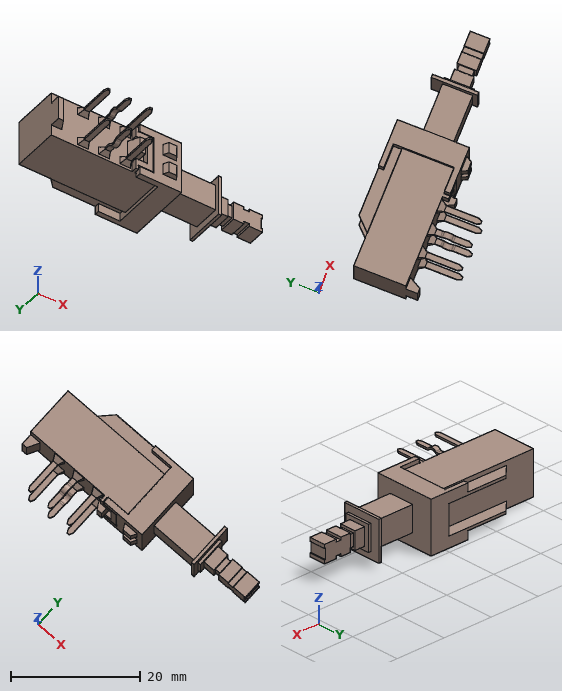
import cadquery as cq


body_length = 20.15
body_half_height = 4.25
body_top = 4.3
body_bottom = -4.4

rib_top = 6.6
rib_foot_x = 5.8
rib_crest_x = 8.02
rib_outer_z = 3.4
rib_thickness = 0.55

housing_end = 24.0
housing_half_height = 5.0
arm_start = 16.1
upper_arm_thickness = 0.9
lower_arm_thickness = 1.0
housing_bottom = body_bottom - lower_arm_thickness
arm_clearance = 0.13

tongue_start = 15.35
tongue_shoulder_x = 15.85
tongue_end = 18.6
tongue_half_width = 3.4
arm_inner_z = tongue_half_width + arm_clearance
tongue_notch_end = 17.5
foot_half_width = 2.23

foot_bottom = -6.4
end_foot_base = 1.97
end_foot_tip = 0.92
latch_base_x = 14.45
latch_tip_x = 15.45
latch_end = 16.45
latch_half_width = 1.45
stud_base = (20.4, 22.97)
stud_tip = (20.9, 22.43)
stud_inner_z = 0.92
stud_outer_z = 3.0

pin_first_x = 6.0
pin_pitch = 4.0
pin_z = 3.02
pin_width = 1.0
pin_thickness = 0.38
pin_tip_y = -11.42
pin_taper_length = 0.65
pin_tip_width = 0.4
pin_base_width = 2.0
pin_base_thickness = 1.43
kink_centre_y = -7.48
kink_half_length = 0.9
kink_height = 0.45
kink_bend_radius = 0.4

stem_half_height = 2.48
stem_y = (-2.6, 2.45)
flange_start = 32.42
flange_end = 32.95
flange_half_height = 3.85
flange_y = (-3.4, 4.33)
collar_end = 33.47
collar_half_width = 2.5
head_half_width = 1.65
head_half_height = 1.72
neck_half_width = 1.25
neck_half_height = 1.2
neck_x = (35.5, 36.5)
notch_x = (38.47, 39.5)
head_end = 42.0
tip_recess_depth = 0.2
tip_recess_half_height = 1.0


def block(x_range, y_range, z_range):
    """Box spanning the given X, Y and Z ranges."""
    sizes = [high - low for low, high in (x_range, y_range, z_range)]
    corner = (x_range[0], y_range[0], z_range[0])
    return cq.Workplane("XY").box(*sizes, centered=False).translate(corner)


def centred(half_size):
    return (-half_size, half_size)


def prism(points, z_range):
    """XY outline extruded over a Z range."""
    outline = cq.Workplane("XY").workplane(offset=z_range[0]).polyline(points).close()
    return outline.extrude(z_range[1] - z_range[0])


def mirrored_in_z(shape):
    return shape.union(shape.mirror("XY"))


def make_body():
    body = block((0, body_length), (body_bottom, body_top), centred(body_half_height))
    rib_outline = [
        (rib_foot_x, body_top),
        (rib_crest_x, rib_top),
        (body_length, rib_top),
        (body_length, body_top),
    ]
    rib = prism(rib_outline, (rib_outer_z - rib_thickness, rib_outer_z))
    return body.union(mirrored_in_z(rib))


def make_tongue():
    y_range = (housing_bottom, body_bottom)
    shoulder = block((tongue_start, tongue_shoulder_x), y_range, centred(body_half_height))
    tongue = block((tongue_shoulder_x, tongue_end), y_range, centred(tongue_half_width))
    notch = block((tongue_start, tongue_notch_end), y_range, centred(foot_half_width))
    return shoulder.union(tongue).cut(notch)


def make_housing():
    housing = block((body_length, housing_end), (housing_bottom, rib_top), centred(housing_half_height))
    arm_x = (arm_start, body_length)
    upper_arm = block(
        arm_x, (rib_top - upper_arm_thickness, rib_top), (rib_outer_z, housing_half_height)
    )
    lower_arm = block(arm_x, (housing_bottom, body_bottom), (arm_inner_z, housing_half_height))
    lower_bridge = block(
        (tongue_end + arm_clearance, body_length), (housing_bottom, body_bottom), centred(arm_inner_z)
    )
    return housing.union(mirrored_in_z(upper_arm.union(lower_arm))).union(lower_bridge)


def make_feet():
    end_foot = prism(
        [(0, body_bottom), (end_foot_base, body_bottom), (end_foot_tip, foot_bottom), (0, foot_bottom)],
        centred(foot_half_width),
    )
    latch = prism(
        [
            (latch_base_x, body_bottom),
            (latch_end, body_bottom),
            (latch_end, foot_bottom),
            (latch_tip_x, foot_bottom),
        ],
        centred(latch_half_width),
    )
    stud = prism(
        [
            (stud_base[0], housing_bottom),
            (stud_base[1], housing_bottom),
            (stud_tip[1], foot_bottom),
            (stud_tip[0], foot_bottom),
        ],
        (stud_inner_z, stud_outer_z),
    )
    return end_foot.union(latch).union(mirrored_in_z(stud))


def pin_strip(kinked):
    """Side profile of a terminal extruded over its width; a kinked one bows outward in Z."""
    half = pin_thickness / 2
    kink_start = kink_centre_y + kink_half_length
    kink_end = kink_centre_y - kink_half_length
    profile = cq.Workplane("YZ").workplane(offset=-pin_width / 2).moveTo(body_bottom, half)
    if kinked:
        profile = profile.lineTo(kink_start, half)
        profile = profile.threePointArc((kink_centre_y, half + kink_height), (kink_end, half))
    profile = profile.lineTo(pin_tip_y, half).lineTo(pin_tip_y, -half)
    if kinked:
        profile = profile.lineTo(kink_end, -half)
        profile = profile.threePointArc((kink_centre_y, kink_height - half), (kink_start, -half))
    strip = profile.lineTo(body_bottom, -half).close().extrude(pin_width)
    if kinked:
        for y in (kink_start, kink_end):
            for z in (half, -half):
                bend = cq.selectors.NearestToPointSelector((0, y, z))
                strip = strip.edges("|X").edges(bend).fillet(kink_bend_radius)
    return strip


def make_pin(kinked):
    taper_y = pin_tip_y + pin_taper_length
    outline = [
        (-pin_width / 2, body_bottom),
        (-pin_width / 2, taper_y),
        (-pin_tip_width / 2, pin_tip_y),
        (pin_tip_width / 2, pin_tip_y),
        (pin_width / 2, taper_y),
        (pin_width / 2, body_bottom),
    ]
    blade = pin_strip(kinked).intersect(prism(outline, centred(pin_base_thickness)))
    base = (
        cq.Workplane("XZ", origin=(0, body_bottom, 0))
        .rect(pin_base_width, pin_base_thickness)
        .workplane(offset=body_bottom - housing_bottom)
        .rect(pin_width, pin_thickness)
        .loft()
    )
    return base.union(blade)


def make_pins():
    row = cq.Workplane("XY")
    for index, kinked in enumerate((False, True, False)):
        row = row.union(make_pin(kinked).translate((pin_first_x + index * pin_pitch, 0, pin_z)))
    return mirrored_in_z(row)


def make_plunger():
    stem = block((housing_end, flange_start), stem_y, centred(stem_half_height))
    flange = block((flange_start, flange_end), flange_y, centred(flange_half_height))
    collar = block((flange_end, collar_end), centred(collar_half_width), centred(stem_half_height))
    shank = block((collar_end, neck_x[0]), centred(head_half_width), centred(head_half_height))
    neck = block(neck_x, centred(neck_half_width), centred(neck_half_height))
    head = block((neck_x[1], head_end), centred(head_half_width), centred(head_half_height))
    notch = block(notch_x, centred(head_half_width), (neck_half_height, head_half_height))
    recess = block(
        (head_end - tip_recess_depth, head_end), centred(head_half_width), centred(tip_recess_half_height)
    )
    head = head.cut(mirrored_in_z(notch)).cut(recess)
    return stem.union(flange).union(collar).union(shank).union(neck).union(head)


result = (
    make_body()
    .union(make_tongue())
    .union(make_housing())
    .union(make_feet())
    .union(make_pins())
    .union(make_plunger())
)